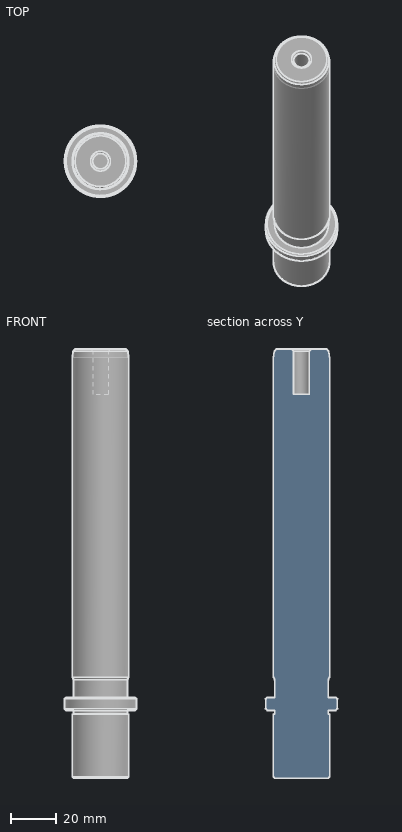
import cadquery as cq

total_length = 190.0
flange_bottom = 30.0
flange_thickness = 5.9
flange_top = flange_bottom + flange_thickness
undercut_width = 1.3
undercut_rise = 0.4
neck_length = 7.8
neck_top = flange_top + neck_length
shoulder_rise = 1.1
lead_in_length = 3.6

body_radius = 12.5
neck_radius = 12.0
flange_radius = 16.0
lead_in_radius = 12.2

bottom_chamfer = 0.8
top_chamfer = 1.0
flange_chamfer = 0.8

hole_radius = 3.5
hole_depth = 20.0
hole_chamfer = 1.0


def make_pillar():
    """Revolve the half section: shank, undercut, flange, neck and guide body."""
    undercut_bottom = flange_bottom - undercut_width
    flange_rim = flange_radius - flange_chamfer
    section = [
        (0, 0),
        (body_radius - bottom_chamfer, 0),
        (body_radius, bottom_chamfer),
        (body_radius, undercut_bottom - undercut_rise),
        (neck_radius, undercut_bottom),
        (neck_radius, flange_bottom),
        (flange_rim, flange_bottom),
        (flange_radius, flange_bottom + flange_chamfer),
        (flange_radius, flange_top - flange_chamfer),
        (flange_rim, flange_top),
        (neck_radius, flange_top),
        (neck_radius, neck_top),
        (body_radius, neck_top + shoulder_rise),
        (body_radius, total_length - lead_in_length),
        (lead_in_radius, total_length - top_chamfer),
        (lead_in_radius - top_chamfer, total_length),
        (0, total_length),
    ]
    return cq.Workplane("XZ").polyline(section).close().revolve(360, (0, 0), (0, 1))


def make_hole():
    """Blind bore with a chamfered mouth, sunk from the top face."""
    mouth_radius = hole_radius + hole_chamfer
    section = [
        (0, total_length - hole_depth),
        (hole_radius, total_length - hole_depth),
        (hole_radius, total_length - hole_chamfer),
        (mouth_radius, total_length),
        (0, total_length),
    ]
    return cq.Workplane("XZ").polyline(section).close().revolve(360, (0, 0), (0, 1))


result = make_pillar().cut(make_hole())